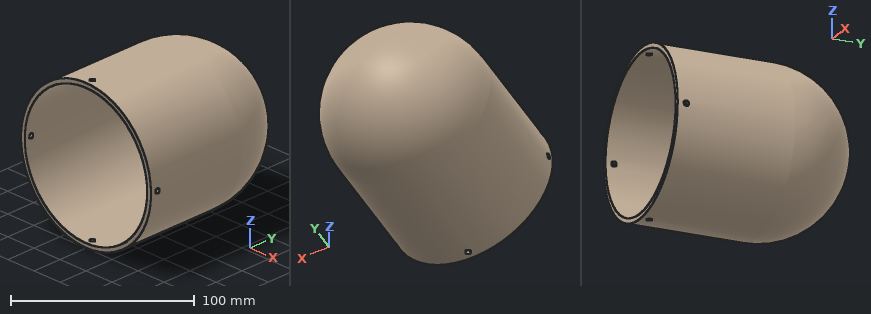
import cadquery as cq

total_length = 120.0
outer_diameter = 100.0
wall = 3.0
hole_diameter = 3.0
hole_edge_distance = 5.0

outer_radius = outer_diameter / 2
inner_radius = outer_radius - wall
tube_length = total_length - outer_radius


def domed_cylinder(radius):
    """Solid cylinder along +Y from the open rim, capped by a hemisphere."""
    tube = cq.Workplane("XZ").circle(radius).extrude(-tube_length)
    dome = (
        cq.Workplane("XY")
        .moveTo(0, tube_length)
        .lineTo(radius, tube_length)
        .radiusArc((0, tube_length + radius), -radius)
        .close()
        .revolve(360, (0, tube_length, 0), (0, tube_length + radius, 0))
    )
    return tube.union(dome)


def cross_hole(plane):
    """Straight drill passing through both opposite walls near the rim."""
    return (
        cq.Workplane(plane, origin=(0, hole_edge_distance, 0))
        .circle(hole_diameter / 2)
        .extrude(outer_diameter, both=True)
    )


result = domed_cylinder(outer_radius).cut(domed_cylinder(inner_radius))

for plane in ("XY", "YZ"):
    result = result.cut(cross_hole(plane))